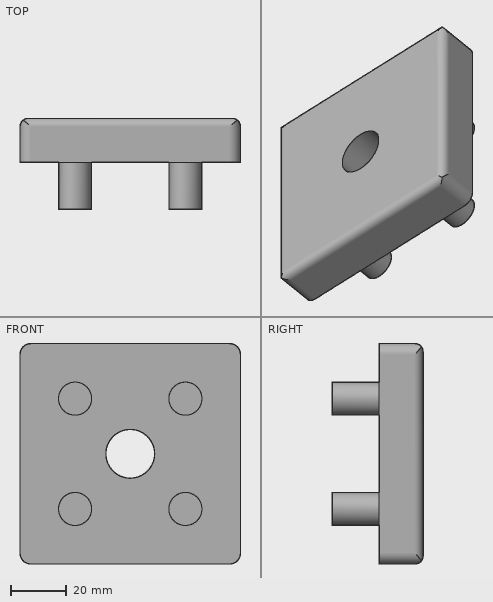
import cadquery as cq

plate_side = 80.0
plate_thickness = 16.0
corner_radius = 4.0
back_edge_radius = 3.0

hole_diameter = 17.6

peg_diameter = 12.0
peg_length = 17.0
peg_spacing = 40.0


def make_block():
    """Plain square block with the outer size of the plate."""
    return cq.Workplane("XY").box(
        plate_side, plate_thickness, plate_side, centered=(True, False, True)
    )


def make_plate():
    """Plate whose rounded back edges meet in mitres, trimmed to rounded corners."""
    rounded_along_x = make_block().edges(">Y and |X").fillet(back_edge_radius)
    rounded_along_z = make_block().edges(">Y and |Z").fillet(back_edge_radius)
    rounded_corners = make_block().edges("|Y").fillet(corner_radius)
    return rounded_corners.intersect(rounded_along_x).intersect(rounded_along_z)


def make_center_hole():
    """Cylinder that cuts the hole through the full plate thickness."""
    return cq.Workplane("XZ").circle(hole_diameter / 2).extrude(-plate_thickness)


def make_pegs():
    """Pegs running from the front face towards -Y."""
    return (
        cq.Workplane("XZ")
        .rarray(peg_spacing, peg_spacing, 2, 2)
        .circle(peg_diameter / 2)
        .extrude(peg_length)
    )


result = make_plate().cut(make_center_hole()).union(make_pegs())